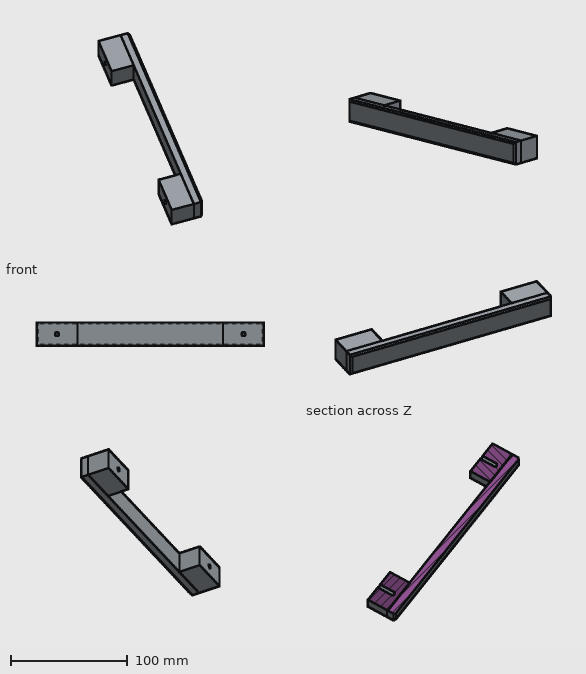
import cadquery as cq
import math

length = 195.0
height = 20.0
grip_thickness = 8.0
edge_chamfer = 1.5

foot_length = 35.0
foot_depth = 20.0

screw_hole_radius = 1.65
screw_hole_depth = 15.0
drill_point_angle = 118
drill_point_depth = screw_hole_radius / math.tan(math.radians(drill_point_angle / 2))

total_depth = foot_depth + grip_thickness
foot_center_x = (length - foot_length) / 2


def make_grip():
    """Flat bar with a chamfer around its outer face."""
    bar = cq.Workplane("XY").box(length, grip_thickness, height)
    bar = bar.faces(">Y").chamfer(edge_chamfer)
    return bar.translate((0, (total_depth - grip_thickness) / 2, 0))


def make_screw_hole():
    """Drilled hole about the Y axis, starting at y = 0 and going towards +Y."""
    return (
        cq.Workplane("XY")
        .lineTo(screw_hole_radius, 0)
        .lineTo(screw_hole_radius, screw_hole_depth)
        .lineTo(0, screw_hole_depth + drill_point_depth)
        .close()
        .revolve(360, (0, 0), (0, 1))
    )


def make_foot(center_x):
    """Block with a central screw hole entering from its mounting face."""
    block = cq.Workplane("XY").box(foot_length, foot_depth, height, centered=(True, False, True))
    return block.cut(make_screw_hole()).translate((center_x, -total_depth / 2, 0))


grip = make_grip()
feet = [make_foot(side * foot_center_x) for side in (-1, 1)]

result = cq.Compound.makeCompound([grip.val(), *[foot.val() for foot in feet]])